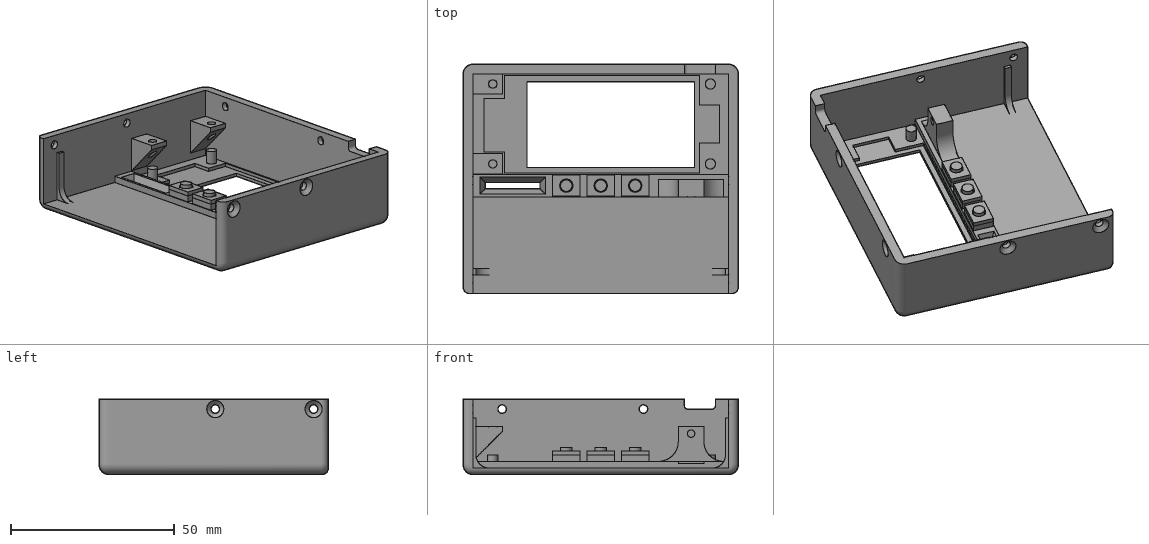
import cadquery as cq
import math


WIDTH = 84.0
DEPTH = 70.0
HEIGHT = 23.0
WALL = 3.0
FLOOR = 2.0
OUTER_RADIUS = 3.0
FRONT_RADIUS = 2.0
INNER_WIDTH = WIDTH - 2 * WALL
INNER_SIDE = INNER_WIDTH / 2
INNER_BACK = DEPTH - WALL

SCREW_DIAMETER = 2.5
SCREW_HEAD_DIAMETER = 5.2
SCREW_HEIGHT = 20.0
SIDE_SCREW_YS = (4.5, 34.5)
BACK_SCREW_XS = (-30.1, 13.0)

NOTCH_WIDTH = 9.4
NOTCH_DEPTH = 3.0
NOTCH_X = 30.2
NOTCH_RADIUS = 1.0

WINDOW_WIDTH = 51.0
WINDOW_LENGTH = 26.1
WINDOW_LEFT = -22.4
WINDOW_FRONT = 38.5
RECESS_DEPTH = 1.0
RECESS_LEFT = -29.4
RECESS_RIGHT = 30.1
RECESS_FRONT = 36.8
RECESS_BACK = 66.45
LEFT_TAB_END = -35.5
LEFT_TAB_FRONT = 43.3
LEFT_TAB_BACK = 59.5
RIGHT_TAB_END = 36.2
RIGHT_TAB_FRONT = 45.9
RIGHT_TAB_BACK = 57.45

PEG_DIAMETER = 3.1
PEG_TOP = 6.0
PEG_YS = (39.6, 63.9)
LEFT_PEG_X = -32.9
RIGHT_PEG_X = 33.4
GUSSET_TOP = 14.6
GUSSET_REACH = 9.0
GUSSET_LIP = 1.4
GUSSET_WIDTH = 6.2
GUSSET_HOLE_DIAMETER = 2.5

STRIP_FRONT = 29.5
STRIP_WIDTH = 6.9
STRIP_TOP = 4.0
STRIP_Y = STRIP_FRONT + STRIP_WIDTH / 2

SLOT_X = -26.9
SLOT_LENGTH = 20.0
SLOT_WIDTH = 5.2
SLOT_INSET = 1.7

BUTTON_COUNT = 3
BUTTON_PITCH = 10.5
BUTTON_WIDTH = 8.4
BUTTON_LENGTH = 6.4
BUTTON_BASE_TOP = 6.0
BUTTON_COVER_TOP = 7.2
CAP_TOP = 8.2
CAP_DIAMETER = 3.5
CAP_HOLE_DIAMETER = 4.0
BUTTON_CENTRES = [((i - (BUTTON_COUNT - 1) / 2) * BUTTON_PITCH, STRIP_Y) for i in range(BUTTON_COUNT)]

BRACKET_X = 27.55
BRACKET_TOP = 14.6
BRACKET_WIDTH = 7.8
BRACKET_LENGTH = 5.4
BRACKET_FLARE = 6.05
BRACKET_HOLE_DIAMETER = 2.3
BRACKET_HOLE_HEIGHT = 12.5
FOOT_HEIGHT = 0.6

RIB_THICKNESS = 0.9
RIB_WIDTH = 2.0
RIB_FRONT = 5.6
RIB_TOP = 17.2
RIB_RADIUS = 4.0


def block(x_start, x_end, y_start, y_end, z_start, z_end):
    """Box between two opposite corners."""
    size = (x_end - x_start, y_end - y_start, z_end - z_start)
    return cq.Workplane("XY").box(*size, centered=False).translate((x_start, y_start, z_start))


def make_shell():
    """Tray with a floor, two side walls and a back wall; the front and top are open."""
    outer = block(-WIDTH / 2, WIDTH / 2, 0, DEPTH, 0, HEIGHT)
    outer = outer.edges("|Z and >Y").fillet(OUTER_RADIUS)
    outer = outer.faces("<Z").edges("not <Y").fillet(OUTER_RADIUS)
    outer = outer.faces("<Y").edges("not >Z").fillet(FRONT_RADIUS)
    return outer.cut(block(-INNER_SIDE, INNER_SIDE, 0, INNER_BACK, FLOOR, HEIGHT))


def countersunk_hole(x, y, direction):
    """Cutter for one screw hole, starting at the outer wall surface and going inward."""
    start = cq.Vector(x, y, SCREW_HEIGHT)
    inward = cq.Vector(*direction)
    sink = (SCREW_HEAD_DIAMETER - SCREW_DIAMETER) / 2
    drill = cq.Solid.makeCylinder(SCREW_DIAMETER / 2, WALL, start, inward)
    cone = cq.Solid.makeCone(SCREW_HEAD_DIAMETER / 2, SCREW_DIAMETER / 2, sink, start, inward)
    return cq.Workplane(drill).union(cq.Workplane(cone))


def cut_wall_openings(case):
    """Screw holes in the three walls and the cable notch in the back wall."""
    for y in SIDE_SCREW_YS:
        case = case.cut(countersunk_hole(-WIDTH / 2, y, (1, 0, 0)))
        case = case.cut(countersunk_hole(WIDTH / 2, y, (-1, 0, 0)))
    for x in BACK_SCREW_XS:
        case = case.cut(countersunk_hole(x, DEPTH, (0, -1, 0)))
    half_notch = NOTCH_WIDTH / 2
    notch = block(NOTCH_X - half_notch, NOTCH_X + half_notch, INNER_BACK, DEPTH, HEIGHT - NOTCH_DEPTH, HEIGHT)
    return case.cut(notch.edges("|Y and <Z").fillet(NOTCH_RADIUS))


def cut_display_seat(case):
    """Window through the floor with a stepped recess and a tab at each end."""
    recess_floor = FLOOR - RECESS_DEPTH
    window_right = WINDOW_LEFT + WINDOW_WIDTH
    window_back = WINDOW_FRONT + WINDOW_LENGTH
    case = case.cut(block(WINDOW_LEFT, window_right, WINDOW_FRONT, window_back, 0, FLOOR))
    case = case.cut(block(RECESS_LEFT, RECESS_RIGHT, RECESS_FRONT, RECESS_BACK, recess_floor, FLOOR))
    case = case.cut(block(LEFT_TAB_END, RECESS_LEFT, LEFT_TAB_FRONT, LEFT_TAB_BACK, recess_floor, FLOOR))
    return case.cut(block(RECESS_RIGHT, RIGHT_TAB_END, RIGHT_TAB_FRONT, RIGHT_TAB_BACK, recess_floor, FLOOR))


def make_pegs():
    """Four pegs standing on the floor around the display."""
    centres = [(x, y) for x in (LEFT_PEG_X, RIGHT_PEG_X) for y in PEG_YS]
    pegs = cq.Workplane("XY", origin=(0, 0, FLOOR)).pushPoints(centres)
    return pegs.circle(PEG_DIAMETER / 2).extrude(PEG_TOP - FLOOR)


def make_gusset(y):
    """Gusset on the left wall with a 45 degree underside and a hole above the peg."""
    tip_x = -INNER_SIDE + GUSSET_REACH
    lip_z = GUSSET_TOP - GUSSET_LIP
    gusset = (
        cq.Workplane("XZ", origin=(0, y + GUSSET_WIDTH / 2, 0))
        .moveTo(-INNER_SIDE, GUSSET_TOP)
        .lineTo(tip_x, GUSSET_TOP)
        .lineTo(tip_x, lip_z)
        .lineTo(-INNER_SIDE, lip_z - GUSSET_REACH)
        .close()
        .extrude(GUSSET_WIDTH)
    )
    hole = cq.Workplane("XY", origin=(LEFT_PEG_X, y, PEG_TOP)).circle(GUSSET_HOLE_DIAMETER / 2)
    return gusset.cut(hole.extrude(GUSSET_TOP - PEG_TOP))


def make_strip():
    """Raised strip from wall to wall with a base block under each button."""
    strip_back = STRIP_FRONT + STRIP_WIDTH
    strip = block(-INNER_SIDE, INNER_SIDE, STRIP_FRONT, strip_back, FLOOR, STRIP_TOP)
    bases = cq.Workplane("XY", origin=(0, 0, STRIP_TOP)).pushPoints(BUTTON_CENTRES)
    return strip.union(bases.rect(BUTTON_WIDTH, BUTTON_LENGTH).extrude(BUTTON_BASE_TOP - STRIP_TOP))


def slot_cutter():
    """Slot that narrows evenly from the strip top to the underside of the floor."""
    return (
        cq.Workplane("XY", origin=(SLOT_X, STRIP_Y, STRIP_TOP))
        .rect(SLOT_LENGTH, SLOT_WIDTH)
        .workplane(offset=-STRIP_TOP)
        .rect(SLOT_LENGTH - 2 * SLOT_INSET, SLOT_WIDTH - 2 * SLOT_INSET)
        .loft(combine=True)
    )


def make_rib(side):
    """Thin upright rib on one side wall, curving out onto the floor; side is -1 or 1."""
    wall_x = side * INNER_SIDE
    face_x = side * (INNER_SIDE - RIB_THICKNESS)
    toe_x = face_x - side * RIB_RADIUS
    bend_x = toe_x + side * RIB_RADIUS * math.cos(math.radians(45))
    bend_z = FLOOR + RIB_RADIUS * (1 - math.sin(math.radians(45)))
    return (
        cq.Workplane("XZ", origin=(0, RIB_FRONT + RIB_WIDTH, 0))
        .moveTo(wall_x, FLOOR)
        .lineTo(wall_x, RIB_TOP)
        .lineTo(face_x, RIB_TOP)
        .lineTo(face_x, FLOOR + RIB_RADIUS)
        .threePointArc((bend_x, bend_z), (toe_x, FLOOR))
        .close()
        .extrude(RIB_WIDTH)
    )


def make_housing(foot):
    """Case with everything that is fixed to it, and a pocket for the foot."""
    case = cut_display_seat(cut_wall_openings(make_shell()))
    case = case.union(make_pegs()).union(make_strip())
    for y in PEG_YS:
        case = case.union(make_gusset(y))
    for side in (-1, 1):
        case = case.union(make_rib(side))
    return case.cut(slot_cutter()).cut(foot)


def make_bracket():
    """Upright post with a concave flare down to the strip on each side and a hole along Y."""
    half = BRACKET_WIDTH / 2
    toe = half + BRACKET_FLARE
    bend_x = toe - BRACKET_FLARE * math.cos(math.radians(45))
    bend_z = STRIP_TOP + BRACKET_FLARE * (1 - math.sin(math.radians(45)))
    flare_top = STRIP_TOP + BRACKET_FLARE
    post = (
        cq.Workplane("XZ", origin=(BRACKET_X, STRIP_FRONT + BRACKET_LENGTH, 0))
        .moveTo(-toe, STRIP_TOP)
        .lineTo(toe, STRIP_TOP)
        .threePointArc((bend_x, bend_z), (half, flare_top))
        .lineTo(half, BRACKET_TOP)
        .lineTo(-half, BRACKET_TOP)
        .lineTo(-half, flare_top)
        .threePointArc((-bend_x, bend_z), (-toe, STRIP_TOP))
        .close()
        .extrude(BRACKET_LENGTH)
    )
    hole_start = cq.Vector(BRACKET_X, STRIP_FRONT, BRACKET_HOLE_HEIGHT)
    hole = cq.Solid.makeCylinder(BRACKET_HOLE_DIAMETER / 2, BRACKET_LENGTH, hole_start, cq.Vector(0, 1, 0))
    return post.cut(cq.Workplane(hole))


def make_foot():
    """Flat foot let into the strip under the bracket post."""
    left = BRACKET_X - BRACKET_WIDTH / 2
    back = STRIP_FRONT + BRACKET_LENGTH
    return block(left, left + BRACKET_WIDTH, STRIP_FRONT, back, STRIP_TOP - FOOT_HEIGHT, STRIP_TOP)


def make_button_cover(x, y):
    """Plate on top of a button base, with a clearance hole for the cap."""
    plate = cq.Workplane("XY", origin=(x, y, BUTTON_BASE_TOP)).rect(BUTTON_WIDTH, BUTTON_LENGTH)
    return plate.circle(CAP_HOLE_DIAMETER / 2).extrude(BUTTON_COVER_TOP - BUTTON_BASE_TOP)


def make_button_cap(x, y):
    """Round cap standing on the button base inside the cover hole."""
    cap = cq.Workplane("XY", origin=(x, y, BUTTON_BASE_TOP)).circle(CAP_DIAMETER / 2)
    return cap.extrude(CAP_TOP - BUTTON_BASE_TOP)


foot = make_foot()
housing = make_housing(foot)
bracket = make_bracket()
button_covers = [make_button_cover(x, y).val() for x, y in BUTTON_CENTRES]
button_caps = [make_button_cap(x, y).val() for x, y in BUTTON_CENTRES]

result = cq.Compound.makeCompound([housing.val(), bracket.val(), foot.val(), *button_covers, *button_caps])